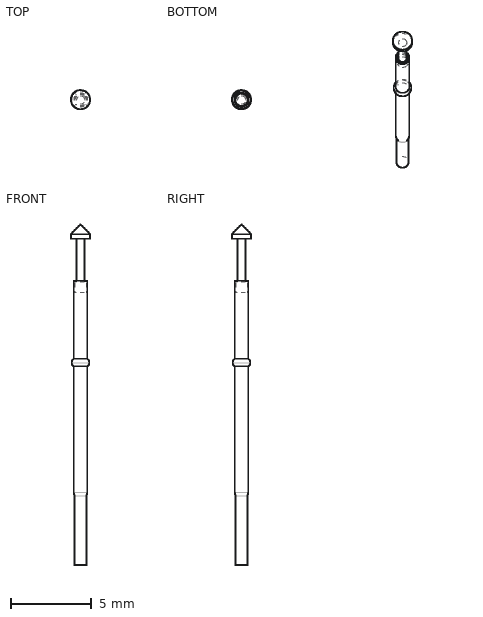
import cadquery as cq

total_height = 21.05

head_diameter = 1.2
cone_height = head_diameter / 2
head_height = 0.9
stem_diameter = 0.5
piston_diameter = 0.7
piston_length = 0.63

barrel_top = 17.55
piston_recess = 0.06
piston_top = barrel_top - piston_recess
barrel_diameter = 0.86
ring_diameter = 1.1
ring_height = 0.46
ring_center = 12.5
ring_arc_radius = 0.25
step_top = 4.48
step_height = 0.19
tail_diameter = 0.75


def revolve_about_z(profile):
    """Turn a closed radius/height profile in the XZ plane about the Z axis."""
    return profile.close().revolve(360, (0, 0, 0), (0, 1, 0))


def make_plunger():
    """Pointed head on a slim stem, ending in a piston just below the barrel mouth."""
    head_radius = head_diameter / 2
    stem_radius = stem_diameter / 2
    piston_radius = piston_diameter / 2
    head_bottom = total_height - head_height
    piston_bottom = piston_top - piston_length
    profile = (
        cq.Workplane("XZ")
        .moveTo(0, total_height)
        .lineTo(head_radius, total_height - cone_height)
        .lineTo(head_radius, head_bottom)
        .lineTo(stem_radius, head_bottom)
        .lineTo(stem_radius, piston_top)
        .lineTo(piston_radius, piston_top)
        .lineTo(piston_radius, piston_bottom)
        .lineTo(0, piston_bottom)
    )
    return revolve_about_z(profile)


def make_barrel():
    """Tube with a creased press-fit ring of two arcs, a tapered step, a thinner tail and a piston bore."""
    barrel_radius = barrel_diameter / 2
    tail_radius = tail_diameter / 2
    bore_radius = piston_diameter / 2
    bore_bottom = piston_top - piston_length
    profile = (
        cq.Workplane("XZ")
        .moveTo(0, 0)
        .lineTo(tail_radius, 0)
        .lineTo(tail_radius, step_top - step_height)
        .lineTo(barrel_radius, step_top)
        .lineTo(barrel_radius, ring_center - ring_height / 2)
        .radiusArc((ring_diameter / 2, ring_center), -ring_arc_radius)
        .radiusArc((barrel_radius, ring_center + ring_height / 2), -ring_arc_radius)
        .lineTo(barrel_radius, barrel_top)
        .lineTo(bore_radius, barrel_top)
        .lineTo(bore_radius, bore_bottom)
        .lineTo(0, bore_bottom)
    )
    return revolve_about_z(profile)


plunger = make_plunger()
barrel = make_barrel()

result = cq.Compound.makeCompound([plunger.val(), barrel.val()])